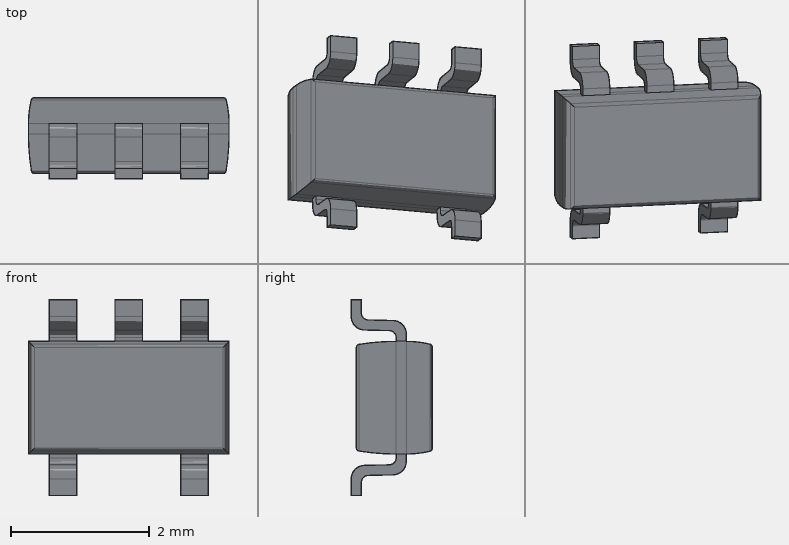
import cadquery as cq
import math


BODY_LENGTH = 2.9
BODY_HEIGHT = 1.63
BODY_THICKNESS = 1.1
STANDOFF = 0.075
BACK_DEPTH = 0.375
SIDE_INSET = 0.05
FACE_EDGE_RADIUS = 0.05

LEAD_WIDTH = 0.4
LEAD_THICKNESS = 0.15
LEAD_PITCH = 0.95
LEAD_SPAN = 2.83
INNER_BEND_RADIUS = 0.1
OUTER_BEND_RADIUS = 0.2
RUN_OFFSET = 0.15
RUN_SLOPE = 1.2
LEAD_EMBED = 0.2

BODY_FRONT = STANDOFF
BODY_BACK = BODY_FRONT + BODY_THICKNESS
BAND_BACK = BODY_BACK - BACK_DEPTH
BAND_FRONT = BAND_BACK - LEAD_THICKNESS

UPPER_LEAD_POSITIONS = (-LEAD_PITCH, 0, LEAD_PITCH)
LOWER_LEAD_POSITIONS = (-LEAD_PITCH, LEAD_PITCH)


def bulge_radius(depth):
    """Radius of an arc that starts square to the band and closes in by SIDE_INSET over depth."""
    return (depth**2 + SIDE_INSET**2) / (2 * SIDE_INSET)


def bulged_prism(plane, across, length):
    """Prism whose section is flat along the lead band and curves inward to the front and back."""
    half = across / 2
    face_half = half - SIDE_INSET
    front_radius = bulge_radius(BAND_FRONT - BODY_FRONT)
    back_radius = bulge_radius(BODY_BACK - BAND_BACK)
    return (
        cq.Workplane(plane)
        .moveTo(-face_half, BODY_FRONT)
        .lineTo(face_half, BODY_FRONT)
        .radiusArc((half, BAND_FRONT), -front_radius)
        .lineTo(half, BAND_BACK)
        .radiusArc((face_half, BODY_BACK), -back_radius)
        .lineTo(-face_half, BODY_BACK)
        .radiusArc((-half, BAND_BACK), -back_radius)
        .lineTo(-half, BAND_FRONT)
        .radiusArc((-face_half, BODY_FRONT), -front_radius)
        .close()
        .extrude(length / 2, both=True)
    )


def make_body():
    """Body with all four sides bulged, mitred at the corners and rounded round both faces."""
    section_zy = cq.Plane(origin=(0, 0, 0), xDir=(0, 0, 1), normal=(-1, 0, 0))
    along_z = bulged_prism("XY", BODY_LENGTH, BODY_HEIGHT)
    along_x = bulged_prism(section_zy, BODY_HEIGHT, BODY_LENGTH)
    body = along_z.intersect(along_x)
    return body.faces("<Y or >Y").edges().fillet(FACE_EDGE_RADIUS)


def make_upper_lead(x_position):
    """Lead leaving the +Z side: up out of the body, forward along the run, then up to the foot."""
    slope = math.radians(RUN_SLOPE)
    root = BODY_HEIGHT / 2 - LEAD_EMBED
    tip = LEAD_SPAN / 2
    foot_front = 0
    foot_back = LEAD_THICKNESS
    run_height = LEAD_THICKNESS / math.cos(slope)

    def run_near_side(y):
        return BODY_HEIGHT / 2 + RUN_OFFSET + (BAND_FRONT - y) * math.tan(slope)

    inner_shoulder = (BAND_FRONT, run_near_side(BAND_FRONT))
    outer_foot = (foot_front, run_near_side(foot_front))
    inner_foot = (foot_back, run_near_side(foot_back) + run_height)
    outer_shoulder = (BAND_BACK, run_near_side(BAND_BACK) + run_height)

    lead = (
        cq.Workplane("YZ")
        .polyline([
            (BAND_FRONT, root),
            inner_shoulder,
            outer_foot,
            (foot_front, tip),
            (foot_back, tip),
            inner_foot,
            outer_shoulder,
            (BAND_BACK, root),
        ])
        .close()
        .extrude(LEAD_WIDTH / 2, both=True)
    )
    bends = (
        (inner_shoulder, INNER_BEND_RADIUS),
        (outer_foot, OUTER_BEND_RADIUS),
        (inner_foot, INNER_BEND_RADIUS),
        (outer_shoulder, OUTER_BEND_RADIUS),
    )
    for (y, z), radius in bends:
        lead = lead.edges(cq.selectors.NearestToPointSelector((0, y, z))).fillet(radius)
    return lead.translate((x_position, 0, 0))


def make_lower_lead(x_position):
    """Lead leaving the -Z side, the mirror image of an upper lead."""
    return make_upper_lead(x_position).mirror("XY")


result = make_body()
for position in UPPER_LEAD_POSITIONS:
    result = result.union(make_upper_lead(position))
for position in LOWER_LEAD_POSITIONS:
    result = result.union(make_lower_lead(position))